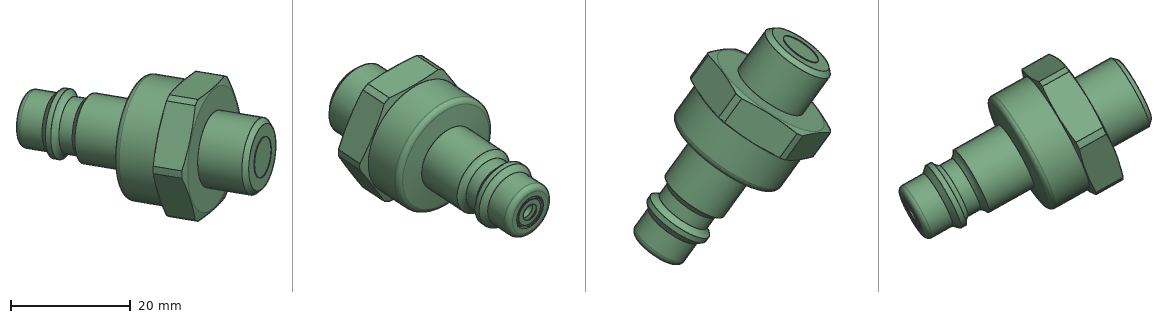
import cadquery as cq
import math


collar_ramp_start = 5.0
collar_start = 6.0
collar_end = 7.0
shank_start = 11.4
body_start = 20.05
body_rim = 20.65
hex_start = 28.0
hex_end = 33.95
length = 43.0

tip_diameter = 10.0
collar_diameter = 12.0
groove_diameter = 9.75
body_diameter = 21.5
stub_diameter = 13.15

tip_fillet = 1.0
groove_run = 1.0
groove_sag = 0.1
body_fillet = 1.0
stub_chamfer = 0.85
selection_margin = 0.05

groove_start = collar_end + groove_run
groove_end = shank_start - groove_run

across_flats = 22.0
across_corners = 24.7
hex_bevel_length = 0.4

boss_diameter = 7.0
boss_height = 0.15
stub_end = length - boss_height

ring_outer_diameter = 6.1
ring_inner_diameter = 5.45
ring_depth = 0.85

bore_diameter = 3.0
bore_depth = 12.9
chamber_diameter = 4.95
chamber_start = 0.1
chamber_end = 0.95


def cylinder(diameter, start, end):
    """Cylinder on the X axis between two stations."""
    return cq.Workplane("YZ").workplane(offset=start).circle(diameter / 2).extrude(end - start)


def revolve_outline(points):
    """Turn a closed outline of (station, radius) points about the X axis."""
    return cq.Workplane("XY").polyline(points).close().revolve(360, (0, 0, 0), (1, 0, 0))


def plug_nose():
    """Rounded tip, locking collar, groove and shank."""
    tip = tip_diameter / 2
    collar = collar_diameter / 2
    groove = groove_diameter / 2
    arc_offset = groove_run / 2 - groove_sag
    arc_radius = (groove + collar) / 2 - groove_sag
    outline = (
        cq.Workplane("XY")
        .polyline([(0, 0), (0, tip), (collar_ramp_start, tip), (collar_start, collar)])
        .lineTo(collar_end, collar)
        .threePointArc((collar_end + arc_offset, arc_radius), (groove_start, groove))
        .lineTo(groove_end, groove)
        .threePointArc((shank_start - arc_offset, arc_radius), (shank_start, collar))
        .lineTo(hex_start, collar)
        .lineTo(hex_start, 0)
        .close()
    )
    nose = outline.revolve(360, (0, 0, 0), (1, 0, 0))
    return nose.faces("<X").edges().fillet(tip_fillet)


def body():
    """Large cylinder with a slightly conical front face and a rounded rim."""
    radius = body_diameter / 2
    blank = revolve_outline([
        (body_start, 0),
        (body_start, collar_diameter / 2),
        (body_rim, radius),
        (hex_start, radius),
        (hex_start, 0),
    ])
    rim_box = cq.selectors.BoxSelector(
        (body_rim - selection_margin, -body_diameter, -body_diameter),
        (body_rim + selection_margin, body_diameter, body_diameter),
        boundingbox=True,
    )
    return blank.edges(rim_box).fillet(body_fillet)


def hexagon():
    """Hexagon with flats on top and bottom, trimmed corners and bevelled ends."""
    prism = (
        cq.Workplane("YZ")
        .workplane(offset=hex_start)
        .polygon(6, across_flats / math.cos(math.pi / 6))
        .extrude(hex_end - hex_start)
    )
    corner = across_corners / 2
    face = body_diameter / 2
    envelope = revolve_outline([
        (hex_start, 0),
        (hex_start, face),
        (hex_start + hex_bevel_length, corner),
        (hex_end - hex_bevel_length, corner),
        (hex_end, face),
        (hex_end, 0),
    ])
    return prism.intersect(envelope)


def stub():
    """Plain connection end with a chamfered edge."""
    return cylinder(stub_diameter, hex_end, stub_end).faces(">X").chamfer(stub_chamfer)


def ring_groove():
    """Narrow ring cut into the tip face."""
    return cylinder(ring_outer_diameter, 0, ring_depth).cut(cylinder(ring_inner_diameter, 0, ring_depth))


def stepped_bore():
    """Blind bore opening into a wider chamber near the tip."""
    return cylinder(bore_diameter, 0, bore_depth).union(
        cylinder(chamber_diameter, chamber_start, chamber_end)
    )


boss = cylinder(boss_diameter, stub_end, length)
outside = plug_nose().union(body()).union(hexagon()).union(stub()).union(boss)
result = outside.cut(ring_groove()).cut(stepped_bore())